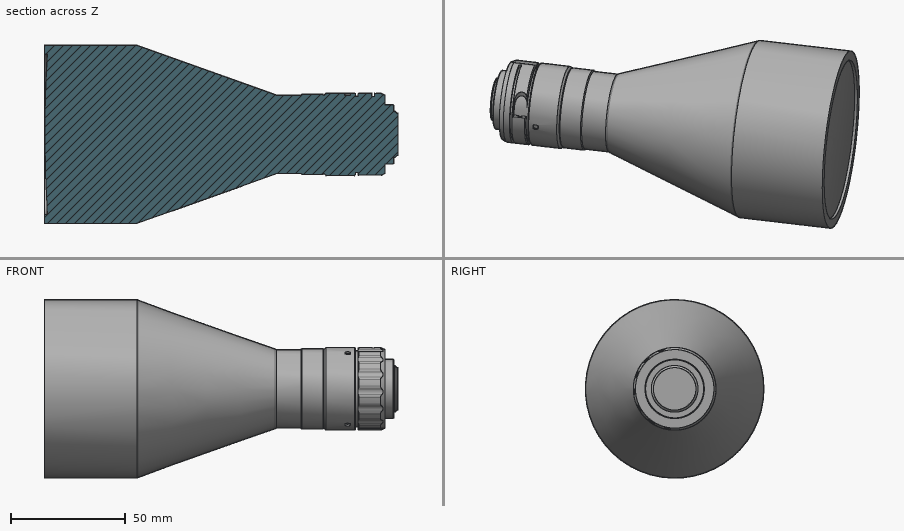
import cadquery as cq
import math

LENGTH = 154.4
HOOD_DIAMETER = 78.0
HOOD_RADIUS = HOOD_DIAMETER / 2
HOOD_END = 40.5
HOOD_LIP_LENGTH = 0.5
HOOD_LIP_RADIUS = 38.8
CONE_END = 100.7
CONE_END_RADIUS = 17.5
NECK_RADIUS = 17.1
NECK_START = 101.3
NECK_END = 112.0
COLLAR_RADIUS = 17.6
COLLAR_START = 112.4
COLLAR_END = 121.5
BARREL_RADIUS = 18.0
BARREL_CHAMFER = 1.0
BARREL_START = 122.9
BARREL_END = 135.4
RING_START = 137.3
RING_END = 148.7
RING_EDGE = 0.5
RING_GAP_RADIUS = 16.7
RING_CHAMFER_LENGTH = 2.0
RING_CHAMFER_DEPTH = 1.0
FLANGE_RADIUS = 13.0
FLANGE_END = 152.5
FLANGE_CHAMFER = 0.3
TAIL_RADIUS = 10.2
TAIL_CONE_START = 153.0
TAIL_CONE_END = 154.0
TAIL_END_RADIUS = 9.3

GLASS_RADIUS = 34.9
GLASS_RECESS = 1.2
GLASS_SAG = 1.1

SET_SCREW_X = 132.3
SET_SCREW_RADIUS = 1.2
SET_SCREW_DEPTH = 1.0
SET_SCREW_COUNT = 3
SET_SCREW_FIRST_ANGLE = 60.0

FLUTE_FIRST_ANGLE = 70.8
FLUTE_PITCH = 25.0
FLUTE_COUNT = 7
FLUTE_HALF_ANGLE = 8.0
FLUTE_DEPTH = 0.54
FLUTE_SHOULDER_RADIUS = 2.6

CORE_RADIUS = RING_GAP_RADIUS
SLIT_X = 143.5
SLIT_WIDTH = 1.1
SLIT_START_ANGLE = 83.0
SLIT_SWEEP = 180.0
POCKET_X = 139.6
POCKET_Y = 14.8
POCKET_RADIUS = 2.8
POCKET_FLOOR_Z = 3.9
CLAMP_HOLE_Y = 15.9
CLAMP_HOLE_RADIUS = 1.0
CLAMP_HOLE_DEPTH = 3.1


def lens_body():
    """Revolve the half outline from the glass apex, along the outside, to the rear face."""
    dome_radius = (GLASS_RADIUS**2 + GLASS_SAG**2) / (2 * GLASS_SAG)
    apex_x = GLASS_RECESS - GLASS_SAG
    half_way = GLASS_RADIUS / 2
    half_way_x = apex_x + dome_radius - math.sqrt(dome_radius**2 - half_way**2)
    ring_end_radius = BARREL_RADIUS - RING_CHAMFER_DEPTH
    groove_radius = BARREL_RADIUS - BARREL_CHAMFER
    edge_radius = BARREL_RADIUS - RING_EDGE
    return (
        cq.Workplane("XY")
        .moveTo(apex_x, 0)
        .threePointArc((half_way_x, half_way), (GLASS_RECESS, GLASS_RADIUS))
        .lineTo(0, GLASS_RADIUS)
        .lineTo(0, HOOD_RADIUS)
        .lineTo(HOOD_END, HOOD_RADIUS)
        .lineTo(HOOD_END + HOOD_LIP_LENGTH, HOOD_LIP_RADIUS)
        .lineTo(CONE_END, CONE_END_RADIUS)
        .lineTo(NECK_START, NECK_RADIUS)
        .lineTo(NECK_END, NECK_RADIUS)
        .lineTo(COLLAR_START, COLLAR_RADIUS)
        .lineTo(COLLAR_END, COLLAR_RADIUS)
        .lineTo(BARREL_START - BARREL_CHAMFER, groove_radius)
        .lineTo(BARREL_START, BARREL_RADIUS)
        .lineTo(BARREL_END, BARREL_RADIUS)
        .lineTo(BARREL_END + RING_EDGE, edge_radius)
        .lineTo(BARREL_END + RING_EDGE, RING_GAP_RADIUS)
        .lineTo(RING_START - RING_EDGE, RING_GAP_RADIUS)
        .lineTo(RING_START - RING_EDGE, edge_radius)
        .lineTo(RING_START, BARREL_RADIUS)
        .lineTo(RING_END - RING_CHAMFER_LENGTH, BARREL_RADIUS)
        .lineTo(RING_END, ring_end_radius)
        .lineTo(RING_END, FLANGE_RADIUS)
        .lineTo(FLANGE_END - FLANGE_CHAMFER, FLANGE_RADIUS)
        .lineTo(FLANGE_END, FLANGE_RADIUS - FLANGE_CHAMFER)
        .lineTo(FLANGE_END, TAIL_RADIUS)
        .lineTo(TAIL_CONE_START, TAIL_RADIUS)
        .lineTo(TAIL_CONE_END, TAIL_END_RADIUS)
        .lineTo(LENGTH, TAIL_END_RADIUS)
        .lineTo(LENGTH, 0)
        .close()
        .revolve(360, (0, 0, 0), (1, 0, 0))
    )


def turned(solid, angle):
    """Turn a solid made on the -Y side about the X axis, toward +Z."""
    return solid.rotate((0, 0, 0), (1, 0, 0), -angle)


def set_screw_hole():
    """Blind hole on the -Y side, from its floor out past the barrel surface."""
    floor = BARREL_RADIUS - SET_SCREW_DEPTH
    return (
        cq.Workplane("XZ", origin=(SET_SCREW_X, -floor, 0))
        .circle(SET_SCREW_RADIUS)
        .extrude(2 * SET_SCREW_DEPTH)
    )


def flute():
    """Hollow floor arc tangent to two rounded shoulders that blend into the ring."""
    half_angle = math.radians(FLUTE_HALF_ANGLE)
    shoulder_r = FLUTE_SHOULDER_RADIUS
    shoulder_axis = BARREL_RADIUS - shoulder_r
    side = shoulder_axis * math.sin(half_angle)
    height = shoulder_axis * math.cos(half_angle)
    floor = BARREL_RADIUS - FLUTE_DEPTH
    low = floor - shoulder_r
    centre = (height**2 + side**2 - low**2) / (2 * (height - low))
    floor_r = centre - floor
    share = shoulder_r / (shoulder_r + floor_r)
    touch = (side * (1 - share), height + (centre - height) * share)
    rim = (BARREL_RADIUS * math.sin(half_angle), BARREL_RADIUS * math.cos(half_angle))
    touch_angle = math.atan2(touch[0] - side, touch[1] - height)
    middle_angle = (half_angle + touch_angle) / 2
    shoulder = (
        side + shoulder_r * math.sin(middle_angle),
        height + shoulder_r * math.cos(middle_angle),
    )
    top = BARREL_RADIUS + FLUTE_DEPTH
    start = RING_START - RING_EDGE
    return (
        cq.Workplane(cq.Plane((start, 0, 0), xDir=(0, 0, 1), normal=(1, 0, 0)))
        .moveTo(rim[0], top)
        .lineTo(*rim)
        .threePointArc(shoulder, touch)
        .threePointArc((0, floor), (-touch[0], touch[1]))
        .threePointArc((-shoulder[0], shoulder[1]), (-rim[0], rim[1]))
        .lineTo(-rim[0], top)
        .close()
        .extrude(RING_END - start)
    )


def clamp_slit():
    """Narrow groove part of the way around the ring, starting at the -Y side."""
    outside = BARREL_RADIUS + SLIT_WIDTH
    return (
        cq.Workplane("XY", origin=(SLIT_X, 0, 0))
        .moveTo(-SLIT_WIDTH / 2, -CORE_RADIUS)
        .lineTo(SLIT_WIDTH / 2, -CORE_RADIUS)
        .lineTo(SLIT_WIDTH / 2, -outside)
        .lineTo(-SLIT_WIDTH / 2, -outside)
        .close()
        .revolve(SLIT_SWEEP, (0, 0, 0), (-1, 0, 0))
    )


def screw_pocket():
    """U-shaped pocket open toward +Y with a screw hole in its floor, both sparing the core."""
    reach = BARREL_RADIUS - POCKET_Y + POCKET_RADIUS
    pocket = (
        cq.Workplane("XY", origin=(POCKET_X, POCKET_Y, POCKET_FLOOR_Z))
        .moveTo(-POCKET_RADIUS, reach)
        .lineTo(-POCKET_RADIUS, 0)
        .threePointArc((0, -POCKET_RADIUS), (POCKET_RADIUS, 0))
        .lineTo(POCKET_RADIUS, reach)
        .close()
        .extrude(BARREL_RADIUS - POCKET_FLOOR_Z)
    )
    hole = (
        cq.Workplane("XY", origin=(POCKET_X, CLAMP_HOLE_Y, POCKET_FLOOR_Z))
        .circle(CLAMP_HOLE_RADIUS)
        .extrude(-CLAMP_HOLE_DEPTH)
    )
    core = cq.Workplane("YZ").circle(CORE_RADIUS).extrude(LENGTH)
    return pocket.union(hole).cut(core)


result = lens_body()
for i in range(FLUTE_COUNT):
    result = result.cut(turned(flute(), FLUTE_FIRST_ANGLE - i * FLUTE_PITCH))
for i in range(SET_SCREW_COUNT):
    angle = SET_SCREW_FIRST_ANGLE + i * 360 / SET_SCREW_COUNT
    result = result.cut(turned(set_screw_hole(), angle))
result = result.cut(turned(clamp_slit(), SLIT_START_ANGLE)).cut(screw_pocket())